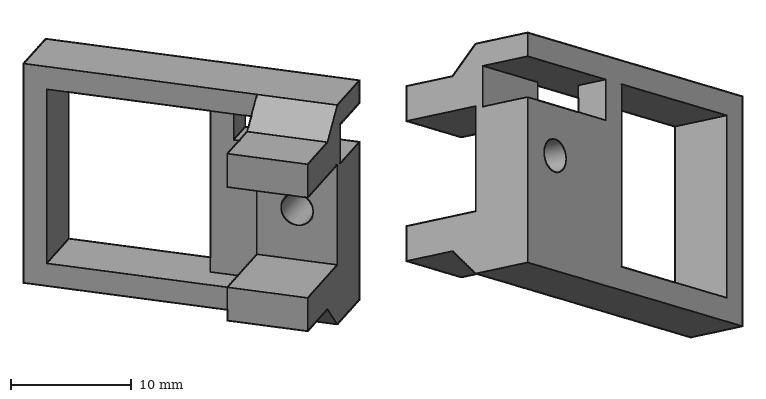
import cadquery as cq

length = 27.5
height = 19.7
frame_depth = 5.66
wall = 2.04

block_width = 7.05
pad_width = 5.0
pad_thickness = 3.0
hole_diameter = 2.8

channel_length = 10.0
channel_height = 3.5
channel_front_skin = 0.8

total_depth = 13.2
prong_gap = 9.0
prong_thickness = 3.0
gusset_depth = 2.5

block_x = length - block_width
pad_x = block_x - pad_width
pad_recess = frame_depth - pad_thickness
window_height = height - 2 * wall
prong_reach = total_depth - frame_depth


def box(x, y, z, dx, dy, dz):
    """Box placed by its lowest corner, with Z measured from mid-height."""
    return cq.Workplane("XY").box(dx, dy, dz, centered=False).translate((x, y, z))


def make_frame():
    """Rectangular frame with its window, recessed pad and rear-opening channel."""
    body = box(0, 0, -height / 2, length, frame_depth, height)
    window = box(wall, 0, -window_height / 2, pad_x - wall, frame_depth, window_height)
    recess = box(pad_x, 0, -window_height / 2, pad_width, pad_recess, window_height)
    channel = box(
        length - channel_length, channel_front_skin, window_height / 2 - channel_height,
        channel_length, frame_depth - channel_front_skin, channel_height,
    )
    return body.cut(window).cut(recess).cut(channel)


def make_upper_prong():
    """Prong with a sloped gusset running out to the top of the frame."""
    inner_z = prong_gap / 2
    outer_z = inner_z + prong_thickness
    profile = [
        (0, inner_z),
        (-prong_reach, inner_z),
        (-prong_reach, outer_z),
        (-gusset_depth, outer_z),
        (0, height / 2),
    ]
    prong = cq.Workplane("YZ").polyline(profile).close().extrude(block_width)
    return prong.translate((block_x, 0, 0))


def make_hole():
    """Through hole along Y, centred on the end block."""
    hole = cq.Workplane("XZ").circle(hole_diameter / 2).extrude(-frame_depth)
    return hole.translate((block_x + block_width / 2, 0, 0))


upper_prong = make_upper_prong()
lower_prong = upper_prong.mirror("XY")
result = make_frame().union(upper_prong).union(lower_prong).cut(make_hole())